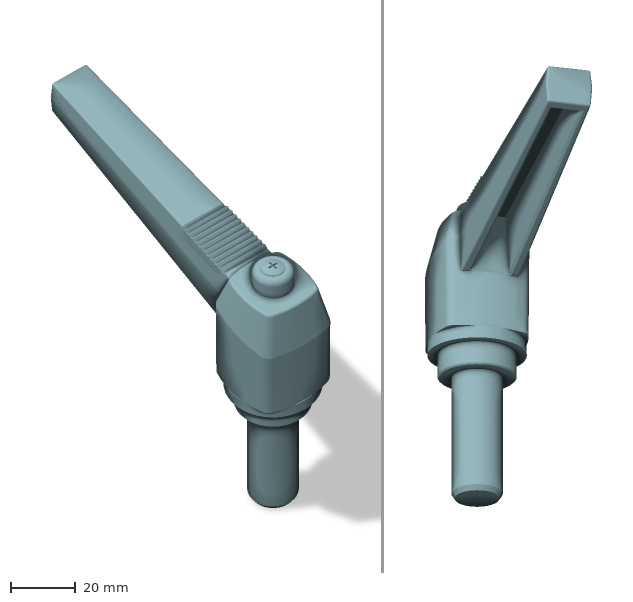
import cadquery as cq
import math


STUD_DIAMETER = 16.0
STUD_TIP_DIAMETER = 13.9
STUD_TIP_CHAMFER_HEIGHT = 1.6
COLLAR_DIAMETER = 24.5
COLLAR_BOTTOM = 40.0
COLLAR_CHAMFER = 0.5
FLANGE_DIAMETER = 30.8
FLANGE_BOTTOM = 47.6
HUB_BOTTOM = 51.5

HUB_BOTTOM_HALF_WIDTH = 15.2
HUB_PARTING_HALF_WIDTH = 15
HUB_TOP_HALF_WIDTH = 11.5
PARTING_HEIGHT = 77.9
PARTING_TILT = 12
HUB_TOP_HEIGHT = 90.7
HUB_TOP_TILT = 3.4
HUB_TOP_SHIFT = 0.2
HUB_TOP_FILLET = 0.9
TANGENT_FRACTION = 0.73
BOTTOM_SHOULDER_FRACTION = 0.88
UPPER_SHOULDER_FRACTION = 0.91

BUTTON_DIAMETER = 13.0
BUTTON_TOP = 97.3
BUTTON_FILLET = 2.0
SCREW_DIAMETER = 7.4
SCREW_EDGE_HEIGHT = 0.2
SCREW_TOP = 98.5
CROSS_LENGTH = 3.5
CROSS_WIDTH = 0.7
CROSS_DEPTH = 0.8

OVERALL_LENGTH = 115.7
OVERALL_HEIGHT = 105.3
HANDLE_TIP_X = FLANGE_DIAMETER / 2 - OVERALL_LENGTH
HANDLE_ROOT_X = -9.3
HANDLE_FILLET = 0.7
HANDLE_TOP_SLOPE = 0.17
HANDLE_PARTING_SLOPE = 0.218
HANDLE_BOTTOM_SLOPE = 0.277
TIP_TOP_HEIGHT = OVERALL_HEIGHT + HANDLE_FILLET * (HANDLE_TOP_SLOPE + math.hypot(1, HANDLE_TOP_SLOPE) - 1)
TIP_PARTING_HEIGHT = 99.8
TIP_BOTTOM_HEIGHT = 93.4
TIP_TOP_HALF_WIDTH = 6.8
TIP_PARTING_HALF_WIDTH = 7.5
TIP_BOTTOM_HALF_WIDTH = 7
ROOT_TOP_HALF_WIDTH = 8.7
ROOT_PARTING_HALF_WIDTH = 9.7
ROOT_BOTTOM_HALF_WIDTH = 9.5

POCKET_TIP_WALL = 2.9
POCKET_ROOF = 2.2
POCKET_END_X = -14.6
POCKET_TIP_ROOF_HALF_WIDTH = 3.7
POCKET_TIP_RIM_HALF_WIDTH = 4.6
POCKET_END_ROOF_HALF_WIDTH = 4.7
POCKET_END_RIM_HALF_WIDTH = 6.0
POCKET_RIM_CHAMFER = 0.8

CUT_MARGIN = 1.2
TOOTH_COUNT = 10
TOOTH_DEPTH = 0.9
TOOTH_RISE_FRACTION = 0.6
FIRST_CREST_X = -32.7
LAST_CREST_X = -14.8
TOOTH_PITCH = (LAST_CREST_X - FIRST_CREST_X) / (TOOTH_COUNT - 1)
PAD_START_X = -34.5
PAD_FLOOR_START_X = -31.5
PAD_FLOOR_END_X = -17.4
PAD_END_X = -12.7
PAD_DEPTH = 3.8
PAD_TIP_HALF_WIDTH = 7.4
PAD_ROOT_HALF_WIDTH = 9.0


def handle_top(x):
    return TIP_TOP_HEIGHT - HANDLE_TOP_SLOPE * (x - HANDLE_TIP_X)


def handle_parting(x):
    return TIP_PARTING_HEIGHT - HANDLE_PARTING_SLOPE * (x - HANDLE_TIP_X)


def handle_bottom(x):
    return TIP_BOTTOM_HEIGHT - HANDLE_BOTTOM_SLOPE * (x - HANDLE_TIP_X)


def cylinder(diameter, bottom, top):
    return cq.Workplane("XY", origin=(0, 0, bottom)).circle(diameter / 2).extrude(top - bottom)


def make_base():
    """Plain stud, collar and round flange below the hub."""
    stud = cylinder(STUD_DIAMETER, 0, HUB_BOTTOM)
    tip_inset = (STUD_DIAMETER - STUD_TIP_DIAMETER) / 2
    stud = stud.faces("<Z").chamfer(STUD_TIP_CHAMFER_HEIGHT, tip_inset)
    collar = cylinder(COLLAR_DIAMETER, COLLAR_BOTTOM, HUB_BOTTOM)
    collar = collar.faces("<Z").chamfer(COLLAR_CHAMFER)
    flange = cylinder(FLANGE_DIAMETER, FLANGE_BOTTOM, HUB_BOTTOM)
    return stud.union(collar).union(flange)


def hub_outline(half_width, shoulder_fraction, height, tilt=0, shift=0):
    """Rounded square with four bulging sides and four corner arcs, falling toward +X by tilt degrees."""
    tangent = half_width * TANGENT_FRACTION
    shoulder = half_width * shoulder_fraction
    bulge = half_width - shoulder
    side_radius = (tangent**2 + bulge**2) / (2 * bulge)
    side_angle = math.asin(tangent / side_radius)
    corner_radius = (shoulder - tangent) / (math.cos(side_angle) - math.sin(side_angle))
    corner_centre = tangent - corner_radius * math.sin(side_angle)
    corner = corner_centre + corner_radius * math.cos(math.pi / 4)

    angle = math.radians(tilt)
    plane = cq.Plane(
        origin=(shift, 0, height),
        xDir=(math.cos(angle), 0, -math.sin(angle)),
        normal=(math.sin(angle), 0, math.cos(angle)),
    )
    outline = (
        cq.Workplane(plane)
        .moveTo(shoulder, -tangent)
        .threePointArc((half_width, 0), (shoulder, tangent))
        .threePointArc((corner, corner), (tangent, shoulder))
        .threePointArc((0, half_width), (-tangent, shoulder))
        .threePointArc((-corner, corner), (-shoulder, tangent))
        .threePointArc((-half_width, 0), (-shoulder, -tangent))
        .threePointArc((-corner, -corner), (-tangent, -shoulder))
        .threePointArc((0, -half_width), (tangent, -shoulder))
        .threePointArc((corner, -corner), (shoulder, -tangent))
        .close()
    )
    return outline.val()


def make_hub():
    """Nearly straight lower body and a steeply tapered upper body that meet on a tilted plane."""
    outlines = [
        hub_outline(HUB_BOTTOM_HALF_WIDTH, BOTTOM_SHOULDER_FRACTION, HUB_BOTTOM),
        hub_outline(HUB_PARTING_HALF_WIDTH, UPPER_SHOULDER_FRACTION, PARTING_HEIGHT, PARTING_TILT),
        hub_outline(HUB_TOP_HALF_WIDTH, UPPER_SHOULDER_FRACTION, HUB_TOP_HEIGHT, HUB_TOP_TILT, HUB_TOP_SHIFT),
    ]
    hub = cq.Workplane(cq.Solid.makeLoft(outlines, True))
    return hub.faces(">Z").edges().fillet(HUB_TOP_FILLET)


def make_button():
    """Rounded push button with a domed cross-recess screw in its top."""
    button = cylinder(BUTTON_DIAMETER, PARTING_HEIGHT, BUTTON_TOP)
    button = button.faces(">Z").edges().fillet(BUTTON_FILLET)

    radius = SCREW_DIAMETER / 2
    edge = BUTTON_TOP + SCREW_EDGE_HEIGHT
    rise = SCREW_TOP - edge
    dome_radius = (radius**2 + rise**2) / (2 * rise)
    middle_x = radius / 2
    middle_z = SCREW_TOP - dome_radius + math.sqrt(dome_radius**2 - middle_x**2)
    screw = (
        cq.Workplane("XZ")
        .moveTo(0, PARTING_HEIGHT)
        .lineTo(radius, PARTING_HEIGHT)
        .lineTo(radius, edge)
        .threePointArc((middle_x, middle_z), (0, SCREW_TOP))
        .close()
        .revolve(360, (0, 0, 0), (0, 1, 0))
    )
    cross = cq.Workplane("XY", origin=(0, 0, SCREW_TOP - CROSS_DEPTH))
    cross = cross.rect(CROSS_LENGTH, CROSS_WIDTH).extrude(CROSS_DEPTH).union(
        cross.rect(CROSS_WIDTH, CROSS_LENGTH).extrude(CROSS_DEPTH)
    )
    return button.union(screw).cut(cross)


def section_corners(x, levels):
    """Corners at x, symmetric about Y = 0, from (half width, height) levels listed from the top down."""
    left = [cq.Vector(x, width, height) for width, height in levels]
    right = [cq.Vector(x, -width, height) for width, height in reversed(levels)]
    return left + right


def flat_face(corners):
    return cq.Face.makeFromWires(cq.Wire.makePolygon(corners, close=True))


def tapered_bar(start_x, start_levels, end_x, end_levels):
    """Bar between two sections: flat top, underside and ends, and straight-ruled flanks."""
    start = section_corners(start_x, start_levels)
    end = section_corners(end_x, end_levels)
    level_count = len(start_levels)
    flat_sides = (level_count - 1, 2 * level_count - 1)

    faces = [flat_face(start), flat_face(end)]
    for side in range(2 * level_count):
        following = (side + 1) % (2 * level_count)
        if side in flat_sides:
            faces.append(flat_face([start[side], start[following], end[following], end[side]]))
        else:
            start_edge = cq.Edge.makeLine(start[side], start[following])
            end_edge = cq.Edge.makeLine(end[side], end[following])
            faces.append(cq.Face.makeRuledSurface(start_edge, end_edge))
    return cq.Workplane(cq.Solid.makeSolid(cq.Shell.makeShell(faces)))


def handle_levels(x, top_half_width, parting_half_width, bottom_half_width):
    return [
        (top_half_width, handle_top(x)),
        (parting_half_width, handle_parting(x)),
        (bottom_half_width, handle_bottom(x)),
    ]


def make_handle_bar():
    """Solid six-sided bar, widest at its parting line, with rounded tip, top and bottom edges."""
    tip = handle_levels(HANDLE_TIP_X, TIP_TOP_HALF_WIDTH, TIP_PARTING_HALF_WIDTH, TIP_BOTTOM_HALF_WIDTH)
    root = handle_levels(HANDLE_ROOT_X, ROOT_TOP_HALF_WIDTH, ROOT_PARTING_HALF_WIDTH, ROOT_BOTTOM_HALF_WIDTH)
    bar = tapered_bar(HANDLE_TIP_X, tip, HANDLE_ROOT_X, root)

    tip_edges = bar.faces("<X").edges()
    middle_x = (HANDLE_TIP_X + HANDLE_ROOT_X) / 2
    top_face = cq.NearestToPointSelector((middle_x, 0, handle_top(middle_x)))
    bottom_face = cq.NearestToPointSelector((middle_x, 0, handle_bottom(middle_x)))
    top_edges = bar.faces(top_face).edges("not |Y")
    bottom_edges = bar.faces(bottom_face).edges("not |Y")
    return tip_edges.add(top_edges).add(bottom_edges).fillet(HANDLE_FILLET)


def pad_levels(x, half_width):
    return [
        (half_width, handle_top(x) + CUT_MARGIN),
        (half_width, handle_top(x) - PAD_DEPTH - CUT_MARGIN),
    ]


def add_serrated_pad(bar):
    """Replace the top of the bar near the hub by an upright-sided pad with a row of teeth."""
    cut_half_width = ROOT_PARTING_HALF_WIDTH + CUT_MARGIN
    floor = [
        (PAD_FLOOR_END_X, handle_top(PAD_FLOOR_END_X) - PAD_DEPTH),
        (PAD_FLOOR_START_X, handle_top(PAD_FLOOR_START_X) - PAD_DEPTH),
    ]
    seat_start = (PAD_START_X, handle_top(PAD_START_X))
    seat_end = (PAD_END_X, handle_top(PAD_END_X))
    seat_top = [
        (PAD_START_X, handle_top(PAD_START_X) + CUT_MARGIN),
        (PAD_END_X, handle_top(PAD_END_X) + CUT_MARGIN),
    ]
    seat = cq.Workplane("XZ").polyline([seat_start] + seat_top + [seat_end] + floor).close()
    seat = seat.extrude(cut_half_width, both=True)

    depth_share = TOOTH_DEPTH / PAD_DEPTH
    first_valley_x = PAD_START_X + depth_share * (PAD_FLOOR_START_X - PAD_START_X)
    last_valley_x = PAD_END_X + depth_share * (PAD_FLOOR_END_X - PAD_END_X)
    crests = [FIRST_CREST_X + tooth * TOOTH_PITCH for tooth in range(TOOTH_COUNT)]
    valleys = [crest_x - TOOTH_RISE_FRACTION * TOOTH_PITCH for crest_x in crests[1:]]
    profile = [(first_valley_x, handle_top(first_valley_x) - TOOTH_DEPTH)]
    for crest_x, valley_x in zip(crests, valleys + [last_valley_x]):
        profile.append((crest_x, handle_top(crest_x)))
        profile.append((valley_x, handle_top(valley_x) - TOOTH_DEPTH))
    profile += floor
    teeth = cq.Workplane("XZ").polyline(profile).close().extrude(cut_half_width, both=True)
    envelope = tapered_bar(
        HANDLE_TIP_X, pad_levels(HANDLE_TIP_X, PAD_TIP_HALF_WIDTH),
        HANDLE_ROOT_X, pad_levels(HANDLE_ROOT_X, PAD_ROOT_HALF_WIDTH),
    )
    return bar.cut(seat).union(teeth.intersect(envelope))


def pocket_levels(x, roof_half_width, rim_half_width):
    return [
        (roof_half_width, handle_top(x) - POCKET_ROOF),
        (rim_half_width, handle_bottom(x) + POCKET_RIM_CHAMFER),
        (rim_half_width + POCKET_RIM_CHAMFER, handle_bottom(x)),
    ]


def make_pocket():
    """Tapered pocket that opens through the handle's underside with a chamfered rim and ends at the hub."""
    start_x = HANDLE_TIP_X + POCKET_TIP_WALL
    return tapered_bar(
        start_x, pocket_levels(start_x, POCKET_TIP_ROOF_HALF_WIDTH, POCKET_TIP_RIM_HALF_WIDTH),
        POCKET_END_X, pocket_levels(POCKET_END_X, POCKET_END_ROOF_HALF_WIDTH, POCKET_END_RIM_HALF_WIDTH),
    )


handle = add_serrated_pad(make_handle_bar())
body = make_hub().union(handle).cut(make_pocket())
result = make_base().union(body).union(make_button())